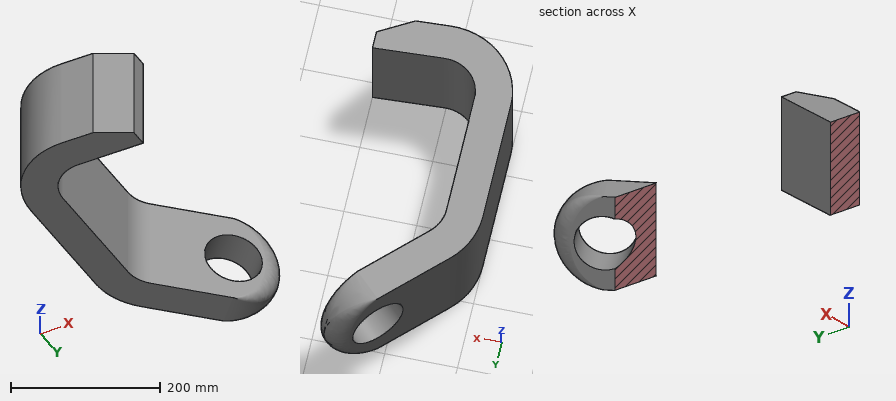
import cadquery as cq
import math

THICKNESS = 50.0
WIDTH = 140.0
INNER_BEND = 50.0
OUTER_BEND = INNER_BEND + THICKNESS
MIDDLE_BEND = INNER_BEND + THICKNESS / 2
BACK_LENGTH = 175.0
ARM_ANGLE = 45.0
ARM_LENGTH = 115.0

TOE_REACH = 200.0
TOE_RISE = 3.0
TOE_FACE = 25.0
TOE_BEVEL = 30.0

EYE_RADIUS = WIDTH / 2
HOLE_DIAMETER = 80.0
FULL_ROUND = THICKNESS / 2
ROUND_MARGIN = 0.02
SECTION_COUNT = 25
FLAT_TOLERANCE = 1e-4
CORE_RADIUS = HOLE_DIAMETER / 4


def from_centre(centre, radius, angle):
    """Point at a distance from a centre, angle in degrees from +X."""
    turn = math.radians(angle)
    return (centre[0] + radius * math.cos(turn), centre[1] + radius * math.sin(turn))


LOWER_BEND = (OUTER_BEND, OUTER_BEND)
UPPER_BEND = (OUTER_BEND, OUTER_BEND + BACK_LENGTH)
ARM_NORMAL = 180.0 - ARM_ANGLE
TOE_NORMAL = 270.0 + TOE_RISE
EYE_CENTRE = from_centre(
    from_centre(UPPER_BEND, MIDDLE_BEND, ARM_NORMAL), ARM_LENGTH, 90.0 - ARM_ANGLE
)
ARM_LEAN = math.radians(ARM_ANGLE)
EYE_PLANE = cq.Plane(
    origin=(*EYE_CENTRE, 0),
    xDir=(math.sin(ARM_LEAN), math.cos(ARM_LEAN), 0),
    normal=(math.cos(ARM_LEAN), -math.sin(ARM_LEAN), 0),
)


def make_bar():
    """Bent bar from the toe to the eye axis."""
    toe_slope = math.tan(math.radians(TOE_RISE))
    bevel_slope = math.tan(math.radians(TOE_BEVEL))
    inner_toe = from_centre(LOWER_BEND, INNER_BEND, TOE_NORMAL)
    outer_toe = from_centre(LOWER_BEND, OUTER_BEND, TOE_NORMAL)
    toe_top = inner_toe[1] + (TOE_REACH - inner_toe[0]) * toe_slope
    toe_bottom = toe_top - TOE_FACE
    gap = toe_bottom - outer_toe[1] - (TOE_REACH - outer_toe[0]) * toe_slope
    bevel_run = gap / (bevel_slope - toe_slope)
    bevel_start = (TOE_REACH - bevel_run, toe_bottom - bevel_run * bevel_slope)
    mid_toe_turn = (180.0 + TOE_NORMAL) / 2
    mid_arm_turn = (180.0 + ARM_NORMAL) / 2
    outline = (
        cq.Workplane("XY", origin=(0, 0, -WIDTH / 2))
        .moveTo(TOE_REACH, toe_top)
        .lineTo(*inner_toe)
        .threePointArc(
            from_centre(LOWER_BEND, INNER_BEND, mid_toe_turn),
            from_centre(LOWER_BEND, INNER_BEND, 180),
        )
        .lineTo(*from_centre(UPPER_BEND, INNER_BEND, 180))
        .threePointArc(
            from_centre(UPPER_BEND, INNER_BEND, mid_arm_turn),
            from_centre(UPPER_BEND, INNER_BEND, ARM_NORMAL),
        )
        .lineTo(*from_centre(EYE_CENTRE, THICKNESS / 2, -ARM_ANGLE))
        .lineTo(*from_centre(EYE_CENTRE, THICKNESS / 2, ARM_NORMAL))
        .lineTo(*from_centre(UPPER_BEND, OUTER_BEND, ARM_NORMAL))
        .threePointArc(
            from_centre(UPPER_BEND, OUTER_BEND, mid_arm_turn),
            from_centre(UPPER_BEND, OUTER_BEND, 180),
        )
        .lineTo(*from_centre(LOWER_BEND, OUTER_BEND, 180))
        .threePointArc(
            from_centre(LOWER_BEND, OUTER_BEND, mid_toe_turn),
            outer_toe,
        )
        .lineTo(*bevel_start)
        .lineTo(TOE_REACH, toe_bottom)
        .close()
    )
    return outline.extrude(WIDTH)


def eye_section(turn):
    """Radial section of the eye; its rim rounding grows from the sides to the tip."""
    share = math.cos(turn)
    rounding = ROUND_MARGIN + (FULL_ROUND - 2 * ROUND_MARGIN) * share
    half = THICKNESS / 2
    shoulder = EYE_RADIUS - rounding
    arc_inset = rounding * (1 - math.sqrt(0.5))
    plane = cq.Plane(
        origin=EYE_PLANE.origin,
        xDir=EYE_PLANE.toWorldCoords((math.cos(turn), math.sin(turn), 0)) - EYE_PLANE.origin,
        normal=EYE_PLANE.toWorldCoords((math.sin(turn), -math.cos(turn), 0)) - EYE_PLANE.origin,
    )
    return (
        cq.Workplane(plane)
        .moveTo(CORE_RADIUS, -half)
        .lineTo(shoulder, -half)
        .threePointArc(
            (EYE_RADIUS - arc_inset, -half + arc_inset),
            (EYE_RADIUS, -half + rounding),
        )
        .lineTo(EYE_RADIUS, half - rounding)
        .threePointArc((EYE_RADIUS - arc_inset, half - arc_inset), (shoulder, half))
        .lineTo(CORE_RADIUS, half)
        .close()
        .val()
    )


def make_eye():
    """Half-round eye lofted through its radial sections, with its two flat sides made planar."""
    step = math.pi / (SECTION_COUNT - 1)
    turns = [-math.pi / 2 + step * index for index in range(SECTION_COUNT)]
    loft = cq.Solid.makeLoft([eye_section(turn) for turn in turns])
    faces = []
    for face in loft.Faces():
        across = EYE_PLANE.toLocalCoords(face.Center()).z
        if abs(abs(across) - THICKNESS / 2) < FLAT_TOLERANCE:
            flat_centre = EYE_PLANE.toWorldCoords((0, 0, math.copysign(THICKNESS / 2, across)))
            flat = cq.Face.makePlane(basePnt=flat_centre, dir=flat_centre - EYE_PLANE.origin)
            faces.append(flat.trim(face.outerWire()))
        else:
            faces.append(face)
    return cq.Workplane(cq.Solid.makeSolid(cq.Shell.makeShell(faces)))


def make_hole():
    """Through hole across the thickness on the eye axis."""
    start = cq.Workplane(EYE_PLANE).workplane(offset=-THICKNESS)
    return start.circle(HOLE_DIAMETER / 2).extrude(2 * THICKNESS)


result = make_bar().union(make_eye()).cut(make_hole())